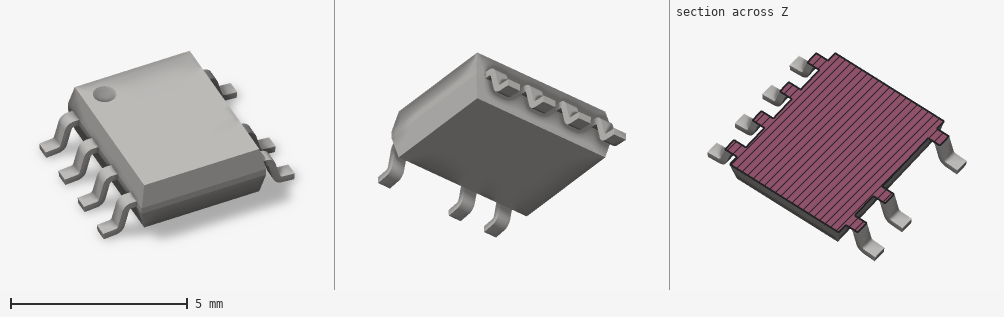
import cadquery as cq
import math

BODY_LENGTH = 4.9
BODY_WIDTH = 3.9
BODY_HEIGHT = 1.61
TAPER_ANGLE = 12.0

SPAN = 6.0
OVERALL_HEIGHT = 1.75
LEAD_THICKNESS = 0.21
LEAD_WIDTH = 0.425
LEAD_PITCH = 1.27
SHOULDER_REACH = 0.385
ARM_ANGLE = 75.0
FOOT_ANGLE = 5.0
INNER_BEND_RADIUS = 0.09
OUTER_BEND_RADIUS = INNER_BEND_RADIUS + LEAD_THICKNESS
LEAD_ROOT_DEPTH = 0.18
LEAD_SLOTS = 4
FRONT_SLOTS = (0, 1, 2, 3)
BACK_SLOTS = (0, 2, 3)

DIMPLE_RADIUS = 0.335
DIMPLE_DEPTH = 0.19
DIMPLE_X = -1.67
DIMPLE_Y = -1.165

BODY_TOP = OVERALL_HEIGHT
BODY_BOTTOM = BODY_TOP - BODY_HEIGHT
WAIST_TOP = (BODY_TOP + BODY_BOTTOM + LEAD_THICKNESS) / 2
WAIST_BOTTOM = WAIST_TOP - LEAD_THICKNESS


def make_body():
    half_height = BODY_TOP - WAIST_TOP

    def section(height):
        return cq.Workplane("XY", origin=(0, 0, height)).rect(BODY_LENGTH, BODY_WIDTH)

    waist = section(WAIST_BOTTOM).extrude(LEAD_THICKNESS)
    upper = section(WAIST_TOP).extrude(half_height, taper=TAPER_ANGLE)
    lower = section(WAIST_BOTTOM).extrude(-half_height, taper=TAPER_ANGLE)
    return waist.union(upper).union(lower)


def lead_below(corner, slope_before, slope_after):
    """Corner on the lead's underside, opposite a top corner between two downward slopes (degrees)."""
    bisector = math.radians((slope_before + slope_after) / 2)
    half_turn = math.radians((slope_after - slope_before) / 2)
    miter = LEAD_THICKNESS / math.cos(half_turn)
    return corner[0] - miter * math.sin(bisector), corner[1] - miter * math.cos(bisector)


def make_lead():
    """Lead on the +Y side, centred on x = 0."""
    arm_slope = math.tan(math.radians(ARM_ANGLE))
    foot_slope = math.tan(math.radians(FOOT_ANGLE))

    root = (BODY_WIDTH / 2 - LEAD_ROOT_DEPTH, WAIST_TOP)
    shoulder = (BODY_WIDTH / 2 + SHOULDER_REACH, WAIST_TOP)
    tip = (SPAN / 2, LEAD_THICKNESS * math.cos(math.radians(FOOT_ANGLE)))

    foot_height_at_shoulder = tip[1] + foot_slope * (tip[0] - shoulder[0])
    arm_run = (WAIST_TOP - foot_height_at_shoulder) / (arm_slope - foot_slope)
    ankle = (shoulder[0] + arm_run, WAIST_TOP - arm_slope * arm_run)

    shoulder_below = lead_below(shoulder, 0, ARM_ANGLE)
    ankle_below = lead_below(ankle, ARM_ANGLE, FOOT_ANGLE)
    tip_below = lead_below(tip, FOOT_ANGLE, FOOT_ANGLE)
    root_below = lead_below(root, 0, 0)

    outline = [root, shoulder, ankle, tip, tip_below, ankle_below, shoulder_below, root_below]
    lead = cq.Workplane("YZ").polyline(outline).close().extrude(LEAD_WIDTH / 2, both=True)

    def round_bends(solid, corners, radius):
        for y, z in corners:
            edge = cq.selectors.NearestToPointSelector((0, y, z))
            solid = solid.edges("|X").edges(edge).fillet(radius)
        return solid

    lead = round_bends(lead, (shoulder, ankle_below), OUTER_BEND_RADIUS)
    return round_bends(lead, (ankle, shoulder_below), INNER_BEND_RADIUS)


def slot_x(slot):
    return (slot - (LEAD_SLOTS - 1) / 2) * LEAD_PITCH


result = make_body()

back_lead = make_lead()
front_lead = back_lead.mirror("XZ")
for lead, slots in ((front_lead, FRONT_SLOTS), (back_lead, BACK_SLOTS)):
    for slot in slots:
        result = result.union(lead.translate((slot_x(slot), 0, 0)))

sphere_radius = (DIMPLE_RADIUS**2 + DIMPLE_DEPTH**2) / (2 * DIMPLE_DEPTH)
sphere_height = BODY_TOP - DIMPLE_DEPTH + sphere_radius
dimple = cq.Workplane("XY").sphere(sphere_radius).translate((DIMPLE_X, DIMPLE_Y, sphere_height))
result = result.cut(dimple)